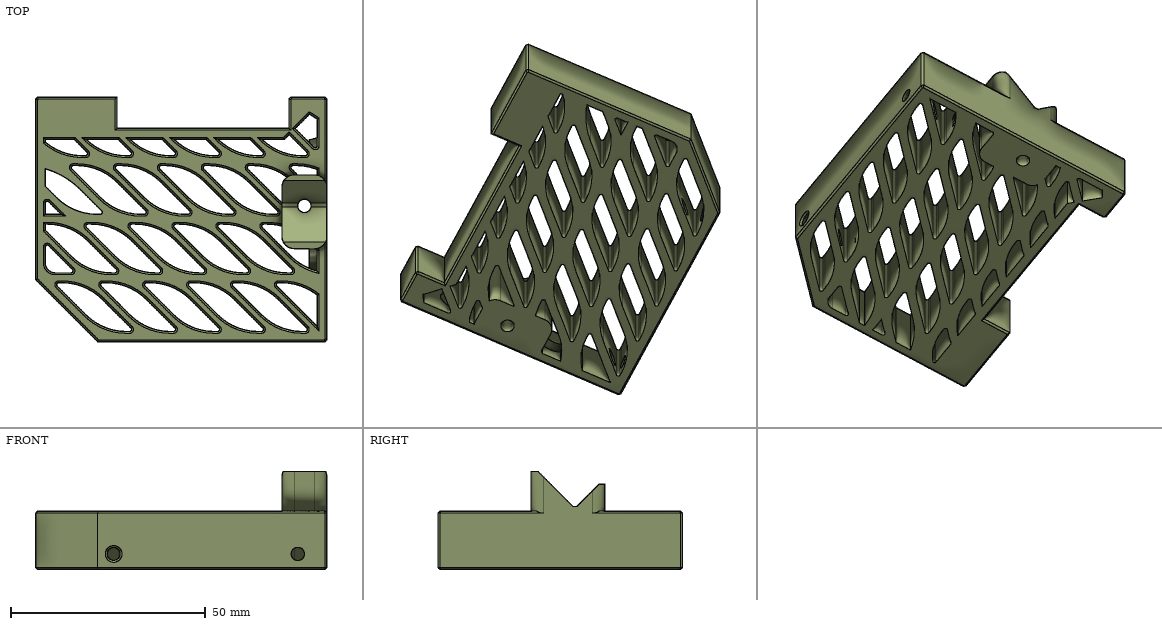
import cadquery as cq
import math

LENGTH = 75.0
WIDTH = 63.0
THICKNESS = 15.0
NOTCH_LEFT = 21.0
NOTCH_RIGHT = 65.2
NOTCH_FLOOR = 55.0
CORNER_CUT = 16.0
EDGE_CHAMFER = 0.5

BORDER = 2.5
WINDOW_RIGHT = LENGTH - BORDER
WINDOW_TOP = 52.1
WINDOW_RAMP_START = 64.05

LEAF_SPACING = 8.0
LEAF_SPAN = 5.77
LEAF_HEIGHT = 12.5
LEAF_RADIUS = 14.7
TIP_RADIUS = 0.5
PITCH = LEAF_SPACING * math.sqrt(2)
ROW_RISE = PITCH * 4 / 3
ROW_SHIFT = -PITCH / 3
FIRST_TIP_X = 25.4
FIRST_TIP_Y = 2.68
ROW_COLUMNS = (range(0, 5), range(0, 6), range(1, 7), range(0, 6))
STRAIGHT_LEAF = (0, 5)
STRAIGHT_ROUNDED_LEAF = (3, 6)
PLAIN_LEAF = (2, 0)
PLAIN_LEAF_UPPER_RADIUS = 21.0
LOWER_TRIANGLE = (1, -1)
UPPER_TRIANGLE = (2, -1)
TRIANGLE_CORNER_RADIUS = 2.6

BLOCK_LEFT = 63.4
BLOCK_FRONT = 23.95
BLOCK_BACK = 43.0
BLOCK_TOP = 25.25
BLOCK_BACK_TOP = 22.0
BLOCK_CORNER_RADIUS = 3.2
VALLEY_CENTER = 35.25
VALLEY_FLOOR = 16.25
VALLEY_WIDTH = 1.0
BORE_X = 69.2
BORE_Y = 35.0
BORE_DIAMETER = 3.4

BOSS_SPACING = 28.0
BOSS_Z = THICKNESS / 2
BOSS_END_X = 70.4
BOSS_END_DIAMETER = 6.0
BOSS_TAPER = 15.0

HOLE_Z = 4.0
HOLE_DEPTH = 14.8
LEFT_HOLE_X = 20.1
LEFT_HOLE_DIAMETER = 3.3
COUNTERSINK_DEPTH = 0.5
RIGHT_HOLE_X = 67.5
RIGHT_HOLE_DIAMETER = 3.4


def round_upright_edge(solid, x, y, radius):
    nearest = cq.selectors.NearestToPointSelector((x, y, THICKNESS / 2))
    return solid.edges("|Z").edges(nearest).fillet(radius)


def plate():
    outline = [
        (CORNER_CUT, 0),
        (LENGTH, 0),
        (LENGTH, WIDTH),
        (NOTCH_RIGHT, WIDTH),
        (NOTCH_RIGHT, NOTCH_FLOOR),
        (NOTCH_LEFT, NOTCH_FLOOR),
        (NOTCH_LEFT, WIDTH),
        (0, WIDTH),
        (0, CORNER_CUT),
    ]
    body = cq.Workplane("XY").polyline(outline).close().extrude(THICKNESS)
    for x, y in ((LENGTH, 0), (LENGTH, WIDTH), (NOTCH_RIGHT, WIDTH), (0, WIDTH)):
        nearest = cq.selectors.NearestToPointSelector((x, y, THICKNESS / 2))
        body = body.edges(nearest).chamfer(EDGE_CHAMFER)
    return body.faces("<Z or >Z").edges().chamfer(EDGE_CHAMFER)


def block_column(bottom, top):
    """Rounded rectangular column with the footprint of the V block."""
    width = LENGTH - BLOCK_LEFT
    depth = BLOCK_BACK - BLOCK_FRONT
    return (
        cq.Workplane("XY")
        .box(width, depth, top - bottom, centered=False)
        .edges("|Z")
        .fillet(BLOCK_CORNER_RADIUS)
        .translate((BLOCK_LEFT, BLOCK_FRONT, bottom))
    )


def window():
    """Space inside the border, less the solid column below the V block."""
    outline = [
        (BORDER, 0),
        (WINDOW_RIGHT, 0),
        (WINDOW_RIGHT, WINDOW_TOP + WINDOW_RIGHT - WINDOW_RAMP_START),
        (WINDOW_RAMP_START, WINDOW_TOP),
        (BORDER, WINDOW_TOP),
    ]
    space = cq.Workplane("XY").polyline(outline).close().extrude(THICKNESS)
    return space.cut(block_column(0, THICKNESS))


def leaf_tip(row, column):
    """Sharp lower right corner of a leaf."""
    x = FIRST_TIP_X + column * PITCH + row * ROW_SHIFT
    y = FIRST_TIP_Y + row * ROW_RISE
    return x, y


def leaf(place, upper_radius=LEAF_RADIUS, straight_lower_side=False):
    right, bottom = leaf_tip(*place)
    top = bottom + LEAF_HEIGHT
    side_offset = LEAF_SPAN * math.sqrt(2)
    left = right - side_offset - LEAF_HEIGHT

    full_run = math.sin(math.pi / 4)
    full_drop = 1 - math.cos(math.pi / 4)
    half_run = math.sin(math.pi / 8)
    half_drop = 1 - math.cos(math.pi / 8)

    outline = cq.Workplane("XY").moveTo(left, top)
    if straight_lower_side:
        outline = outline.lineTo(left + LEAF_HEIGHT, bottom)
    else:
        side_end_y = bottom + LEAF_RADIUS * full_drop
        side_end_x = left + top - side_end_y
        arc_end_x = side_end_x + LEAF_RADIUS * full_run
        arc_middle = (arc_end_x - LEAF_RADIUS * half_run, bottom + LEAF_RADIUS * half_drop)
        outline = outline.lineTo(side_end_x, side_end_y).threePointArc(arc_middle, (arc_end_x, bottom))

    side_end_y = top - upper_radius * full_drop
    side_end_x = right - (side_end_y - bottom)
    arc_end_x = side_end_x - upper_radius * full_run
    arc_middle = (arc_end_x + upper_radius * half_run, top - upper_radius * half_drop)
    outline = (
        outline.lineTo(right, bottom)
        .lineTo(side_end_x, side_end_y)
        .threePointArc(arc_middle, (arc_end_x, top))
        .close()
    )
    opening = outline.extrude(THICKNESS)
    opening = round_upright_edge(opening, right, bottom, TIP_RADIUS)
    if left > BORDER:
        opening = round_upright_edge(opening, left, top, TIP_RADIUS)
    return opening


def straight_rounded_leaf(space):
    """Leaf cut off by the right border, rounded in the sharp corner there."""
    right, bottom = leaf_tip(*STRAIGHT_ROUNDED_LEAF)
    corner_y = bottom + right - LEAF_SPAN * math.sqrt(2) - WINDOW_RIGHT
    opening = leaf(STRAIGHT_ROUNDED_LEAF, straight_lower_side=True).intersect(space)
    return round_upright_edge(opening, WINDOW_RIGHT, corner_y, TIP_RADIUS)


def triangle(place):
    """Triangle between the left border and the straight side of a leaf, rounded at its top."""
    right, bottom = leaf_tip(*place)
    peak = bottom + right - BORDER
    corners = [(BORDER, bottom), (right, bottom), (BORDER, peak)]
    opening = cq.Workplane("XY").polyline(corners).close().extrude(THICKNESS)
    return round_upright_edge(opening, BORDER, peak, TIP_RADIUS)


def lower_triangle():
    right, bottom = leaf_tip(*LOWER_TRIANGLE)
    opening = triangle(LOWER_TRIANGLE)
    opening = round_upright_edge(opening, right, bottom, TIP_RADIUS)
    return round_upright_edge(opening, BORDER, bottom, TRIANGLE_CORNER_RADIUS)


def cut_pattern(body):
    space = window()
    openings = [straight_rounded_leaf(space), lower_triangle(), triangle(UPPER_TRIANGLE)]
    openings.append(leaf(STRAIGHT_LEAF, straight_lower_side=True).intersect(space))
    for row, columns in enumerate(ROW_COLUMNS):
        for column in columns:
            openings.append(leaf((row, column)).intersect(space))
    for opening in openings:
        body = body.cut(opening)

    rims = body.faces(">Z").val().innerWires()
    rim_edges = [edge for rim in rims for edge in rim.Edges()]
    body = body.newObject(rim_edges).chamfer(EDGE_CHAMFER)
    return body.cut(leaf(PLAIN_LEAF, upper_radius=PLAIN_LEAF_UPPER_RADIUS).intersect(space))


def v_block():
    base = THICKNESS - EDGE_CHAMFER
    front_foot = VALLEY_CENTER - VALLEY_WIDTH / 2
    back_foot = VALLEY_CENTER + VALLEY_WIDTH / 2
    profile = [
        (BLOCK_FRONT, base),
        (BLOCK_BACK, base),
        (BLOCK_BACK, BLOCK_BACK_TOP),
        (back_foot + BLOCK_BACK_TOP - VALLEY_FLOOR, BLOCK_BACK_TOP),
        (back_foot, VALLEY_FLOOR),
        (front_foot, VALLEY_FLOOR),
        (front_foot - BLOCK_TOP + VALLEY_FLOOR, BLOCK_TOP),
        (BLOCK_FRONT, BLOCK_TOP),
    ]
    valley_shape = cq.Workplane("YZ").polyline(profile).close().extrude(LENGTH)
    return block_column(base, BLOCK_TOP).intersect(valley_shape)


def boss(y):
    """Cone that widens toward the right border."""
    return (
        cq.Workplane("YZ")
        .workplane(offset=BOSS_END_X)
        .center(y, BOSS_Z)
        .circle(BOSS_END_DIAMETER / 2)
        .extrude(WINDOW_RIGHT - BOSS_END_X, taper=-BOSS_TAPER)
    )


def block_bore():
    return cq.Workplane("XY").center(BORE_X, BORE_Y).circle(BORE_DIAMETER / 2).extrude(BLOCK_TOP)


def front_hole(x, diameter):
    return cq.Workplane("XZ").center(x, HOLE_Z).circle(diameter / 2).extrude(-HOLE_DEPTH)


def left_hole_countersink():
    mouth_radius = LEFT_HOLE_DIAMETER / 2 + COUNTERSINK_DEPTH
    return (
        cq.Workplane("XZ")
        .center(LEFT_HOLE_X, HOLE_Z)
        .circle(mouth_radius)
        .extrude(-COUNTERSINK_DEPTH, taper=45)
    )


result = cut_pattern(plate()).union(v_block())
for boss_side in (-1, 1):
    result = result.union(boss(BORE_Y + boss_side * BOSS_SPACING / 2))
result = (
    result.cut(block_bore())
    .cut(front_hole(LEFT_HOLE_X, LEFT_HOLE_DIAMETER))
    .cut(left_hole_countersink())
    .cut(front_hole(RIGHT_HOLE_X, RIGHT_HOLE_DIAMETER))
)